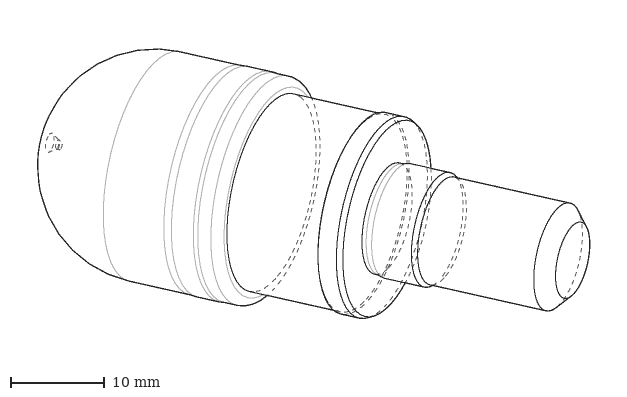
import cadquery as cq
import math


total_length = 62.0

dimple_mouth_radius = 1.05
dimple_radius = 0.5
dimple_flare_depth = 0.9
dimple_depth = 1.25

cap_end = 26.3
cap_radius = 12.5
band_radius = 12.6
dome_center_x = math.sqrt(cap_radius**2 - dimple_mouth_radius**2)
band_rise_start = 19.65
band_start = 20.6
band_end = 23.2
band_fall_end = 23.7
cap_rim_fillet = 1.05

body_radius = 10.8
flange_diameter = 22.0
flange_radius = flange_diameter / 2
flange_start = 37.1
flange_lead_in = 0.1
flange_end = 40.0
flange_chamfer = 0.6
flange_chamfer_drop = 0.3
neck_radius = 6.1
neck_end = 40.5
collar_radius = 6.25
collar_start = 41.2
collar_end = 45.95
collar_taper_end = 46.5
shank_radius = 5.9
tip_chamfer = 1.75


def make_cap():
    """Domed cap with a nose dimple, a slightly raised band and a rounded rear rim."""
    dome_diagonal = cap_radius / math.sqrt(2)
    profile = (
        cq.Workplane("XY")
        .moveTo(dimple_depth, 0)
        .lineTo(cap_end, 0)
        .lineTo(cap_end, cap_radius - cap_rim_fillet)
        .radiusArc((cap_end - cap_rim_fillet, cap_radius), -cap_rim_fillet)
        .lineTo(band_fall_end, cap_radius)
        .lineTo(band_end, band_radius)
        .lineTo(band_start, band_radius)
        .lineTo(band_rise_start, cap_radius)
        .lineTo(dome_center_x, cap_radius)
        .threePointArc((dome_center_x - dome_diagonal, dome_diagonal), (0, dimple_mouth_radius))
        .lineTo(dimple_flare_depth, dimple_radius)
        .lineTo(dimple_depth, dimple_radius)
        .close()
    )
    return profile.revolve(360, (0, 0, 0), (1, 0, 0))


def make_stem():
    """Stepped stem: body, flange, neck, collar and chamfered shank."""
    outline = [
        (cap_end, 0),
        (cap_end, body_radius),
        (flange_start, body_radius),
        (flange_start + flange_lead_in, flange_radius),
        (flange_end - flange_chamfer, flange_radius),
        (flange_end, flange_radius - flange_chamfer_drop),
        (flange_end, neck_radius),
        (neck_end, neck_radius),
        (collar_start, collar_radius),
        (collar_end, collar_radius),
        (collar_taper_end, shank_radius),
        (total_length - tip_chamfer, shank_radius),
        (total_length, shank_radius - tip_chamfer),
        (total_length, 0),
    ]
    return cq.Workplane("XY").polyline(outline).close().revolve(360, (0, 0, 0), (1, 0, 0))


cap = make_cap()
stem = make_stem()

result = cq.Compound.makeCompound([cap.val(), stem.val()])